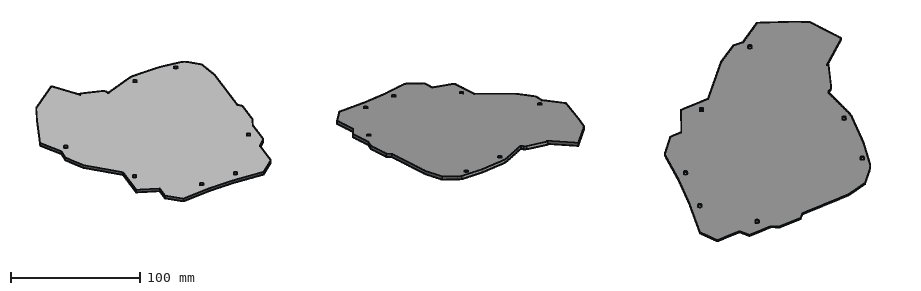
import cadquery as cq

width = 163.2
depth = 159.5
thickness = 3.0
hole_diameter = 3.0

left_side_x = 17.8
right_waist_x = 161.5
upper_edge_y = 156.5
upper_right_step_y = 150.7
lower_right_step_y = 58.8
lower_edge_y = 42.0
left_hole_x = 23.8

lower_left_tip = (0, 37.5)
left_edge = [
    (19.1, 53.2),
    (left_side_x, 53.4),
    (left_side_x, 54.0),
    (22.9, 70.7),
    (24.2, 72.5),
    (26.5, 73.3),
    (26.6, 73.8),
    (18.6, 95.6),
    (left_side_x, 98.9),
    (left_side_x, 122.3),
    (20.2, 141.3),
    (22.2, 144.5),
    (29.9, 153.1),
]
top_edge = [
    (45.2, upper_edge_y),
    (84.2, upper_edge_y),
    (87.0, depth),
    (104.8, depth),
    (110.8, upper_edge_y),
    (129.0, upper_edge_y),
    (134.7, upper_right_step_y),
    (153.5, upper_right_step_y),
]
right_edge = [
    (width, 139.4),
    (right_waist_x, 113.8),
    (right_waist_x, 93.2),
    (width, 70.0),
    (153.6, lower_right_step_y),
    (144.3, lower_right_step_y),
]
bottom_edge = [
    (137.5, lower_edge_y),
    (114.5, lower_edge_y),
    (93.4, 18.3),
    (79.3, 9.8),
    (71.5, 10.3),
    (55.2, 0),
    (29.7, 10.1),
    (17.3, 15.7),
]

hole_centers = [
    (left_hole_x, 133.5),
    (left_hole_x, 98.1),
    (119.0, 148.7),
    (154.7, 119.3),
    (154.2, 90.3),
    (122.5, 48.0),
    (67.9, 15.8),
]


def make_plate():
    """Extrude the closed outline to the plate thickness."""
    outline = [lower_left_tip] + left_edge + top_edge + right_edge + bottom_edge
    return cq.Workplane("XY").polyline(outline).close().extrude(thickness)


def make_holes():
    """Cylinders for the mounting holes, running through the full thickness."""
    return cq.Workplane("XY").pushPoints(hole_centers).circle(hole_diameter / 2).extrude(thickness)


result = make_plate().cut(make_holes())